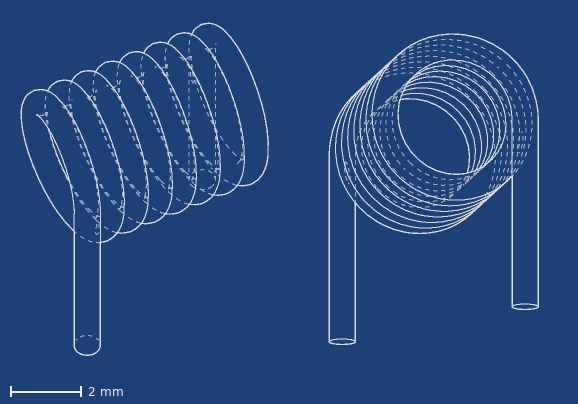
import cadquery as cq

wire_diameter = 0.75
outer_diameter = 4.745
overall_length = 6.51
overall_height = 7.87
turns = 7.5

coil_radius = (outer_diameter - wire_diameter) / 2
coil_length = overall_length - wire_diameter
pitch = coil_length / turns
leg_length = overall_height - outer_diameter / 2


def make_coil():
    """Left-handed coil along +Y, starting on the +X side and rising over the top."""
    helix = cq.Wire.makeHelix(pitch, coil_length, coil_radius, lefthand=True)
    coil = (
        cq.Workplane("XZ", origin=(coil_radius, 0, 0))
        .circle(wire_diameter / 2)
        .sweep(cq.Workplane(obj=helix), isFrenet=True)
    )
    return coil.rotate((0, 0, 0), (1, 0, 0), -90).translate((0, -coil_length / 2, 0))


def make_leg(x, y):
    """Straight wire end hanging down from the height of the coil axis."""
    return cq.Workplane("XY", origin=(x, y, 0)).circle(wire_diameter / 2).extrude(-leg_length)


front_leg = make_leg(coil_radius, -coil_length / 2)
back_leg = make_leg(-coil_radius, coil_length / 2)
result = make_coil().union(front_leg).union(back_leg)